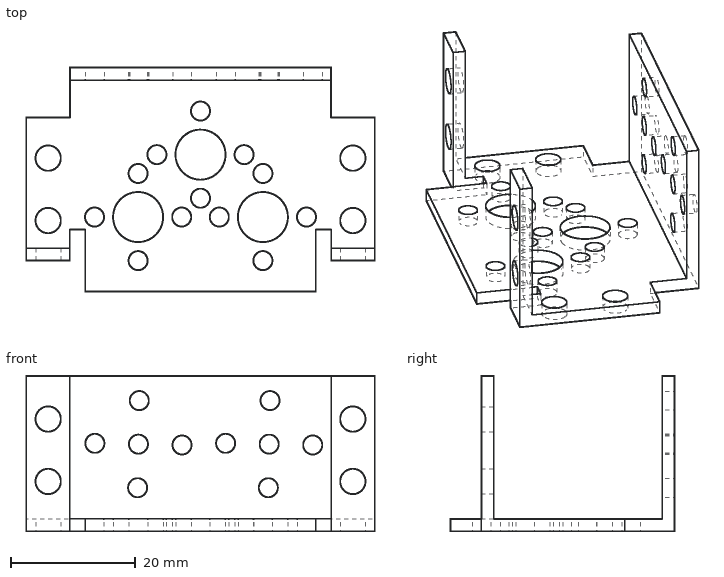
import cadquery as cq
import math

length = 56.0
depth = 36.0
height = 25.0
sheet = 2.0

wall_width = 42.0
ledge_y = 28.0
tab_front_y = 5.0
notch_end_y = 9.95
nose_width = 37.1
tab_width = (length - wall_width) / 2

large_diameter = 8.0
small_diameter = 3.0
mount_diameter = 4.05
mount_x = 24.5
mount_spacing = 10.0
plate_mount_y = 11.4
tab_mount_z = 8.0
cross_radius = 7.0
large_centers = [(-10.0, 12.0), (10.0, 12.0), (0, 22.0)]
wall_cross_centers = [(-9.95, 14.0), (11.05, 14.0)]
wall_cross_tilt = -1.1


def cross_points(centers, tilt=0):
    """Four points around each center, a quarter turn apart."""
    points = []
    for x, y in centers:
        for quarter in range(4):
            angle = math.radians(90 * quarter + tilt)
            points.append((x + cross_radius * math.cos(angle), y + cross_radius * math.sin(angle)))
    return points


def mount_points(first):
    """A pair of mounting holes on each side of the part."""
    return [(side * mount_x, first + step * mount_spacing) for side in (-1, 1) for step in (0, 1)]


def pins(plane, points, diameter, span):
    """Cylinders that cut round holes, drawn on the given plane."""
    return cq.Workplane(plane).pushPoints(points).circle(diameter / 2).extrude(span)


def block(x_size, y_size, z_size, x_center, y_front):
    """Upright box standing on the bottom plane."""
    solid = cq.Workplane("XY").box(x_size, y_size, z_size, centered=(True, False, False))
    return solid.translate((x_center, y_front, 0))


right_outline = [
    (nose_width / 2, 0),
    (nose_width / 2, notch_end_y),
    (wall_width / 2, notch_end_y),
    (wall_width / 2, tab_front_y),
    (length / 2, tab_front_y),
    (length / 2, ledge_y),
    (wall_width / 2, ledge_y),
    (wall_width / 2, depth),
]
left_outline = [(-x, y) for x, y in reversed(right_outline)]
base = cq.Workplane("XY").polyline(right_outline + left_outline).close().extrude(sheet)
base = base.cut(pins("XY", large_centers, large_diameter, sheet))
base = base.cut(pins("XY", cross_points(large_centers), small_diameter, sheet))
base = base.cut(pins("XY", mount_points(plate_mount_y), mount_diameter, sheet))

wall = block(wall_width, sheet, height, 0, depth - sheet)
wall_holes = cross_points(wall_cross_centers, wall_cross_tilt) + wall_cross_centers
wall = wall.cut(pins("XZ", wall_holes, small_diameter, -depth))

tab_x = (length - tab_width) / 2
tabs = block(tab_width, sheet, height, -tab_x, tab_front_y)
tabs = tabs.union(block(tab_width, sheet, height, tab_x, tab_front_y))
tabs = tabs.cut(pins("XZ", mount_points(tab_mount_z), mount_diameter, -depth))

result = base.union(wall).union(tabs)